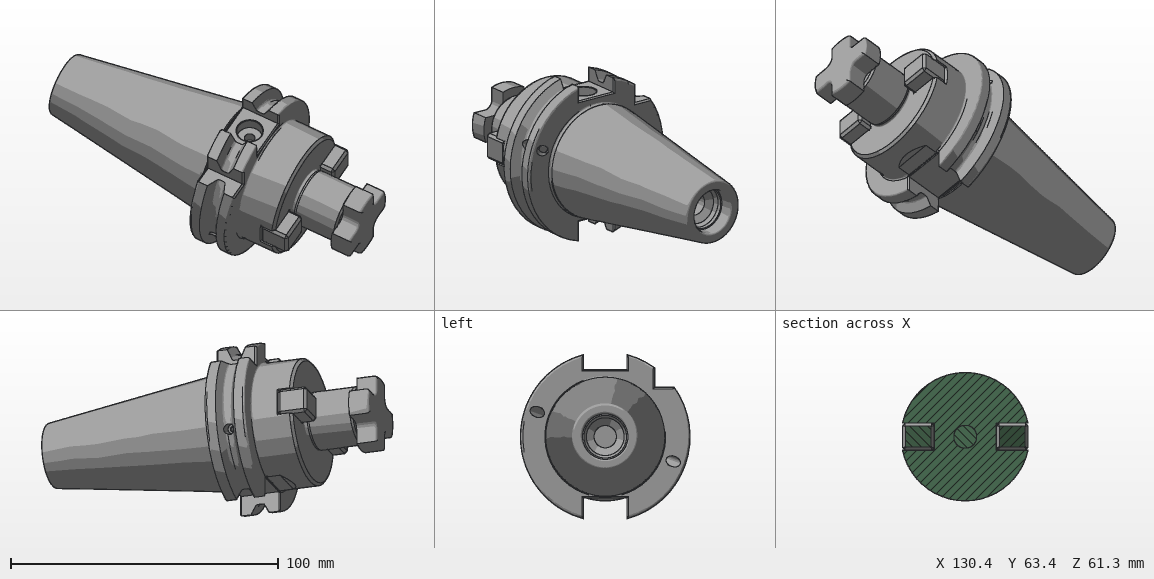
import cadquery as cq
import math

total_length = 130.4
taper_length = 68.9
flange_start = 71.6
flange_width = 15.9
flange_end = flange_start + flange_width
groove_x = flange_start + flange_width / 2
collar_length = 15.9
collar_end = flange_end + collar_length
spigot_length = 19.0
spigot_end = collar_end + spigot_length

small_radius = 12.3
gauge_radius = 22.23
tip_fillet = 1.0
neck_radius = 21.9
neck_start = 69.9
neck_chamfer = 0.4
neck_fillet = 0.7
flange_radius = 31.7
flange_fillet = 0.9
groove_radius = 28.0
groove_half_flat = 0.8
groove_fillet = 1.2
flank_angle = math.radians(60)
collar_radius = 24.0
collar_root_fillet = 0.7
collar_chamfer = 1.0
spigot_radius = 11.0
spigot_chamfer = 0.8
relief_radius = 10.7
relief_fillet = 0.4
relief_width = 1.2
relief_run_out = 0.8

pilot_radius = 8.5
pilot_depth = 5.6
pilot_fillet = 0.9
recess_radius = 8.0
recess_end = 7.3
cone_radius = 7.0
cone_start = 8.9
bore_radius = 4.2
drill_half_angle = math.radians(59)

slot_width = 16.2
slot_floors = {1: 25.0, -1: 22.8}
slot_chamfer = 0.5
run_out_start = 93.0
run_out_end = 96.0
notch_wall = 18.5
notch_chamfer = 0.7
pocket_radius = 4.8
pocket_chamfer = 0.3
pocket_depth = 4.7
pilot_hole_radius = 2.0
pilot_hole_depth = 3.9
coolant_radius = 2.0
coolant_circle = 27.0
coolant_tilt = 45
coolant_angles = (20, 200)

key_start = 97.5
key_length = 11.5
key_width = 10.0
key_inner = 11.6
key_outer = 23.5
key_chamfer = 1.0

head_radius = 14.02
head_fillet = 1.3
lobe_width = 9.8
lobe_root_radius = 3.0
shank_start = 86.0

set_screw_outer = 23.5
set_screw_length = 3.9
socket_width = 2.0
socket_depth = 1.5


def revolve_about_x(profile):
    return profile.close().revolve(360, (0, 0, 0), (1, 0, 0))


def turned_body():
    """Taper, flange blank, collar and spigot, without the ring groove."""
    taper = revolve_about_x(
        cq.Workplane("XZ")
        .lineTo(0, small_radius)
        .lineTo(taper_length, gauge_radius)
        .lineTo(neck_start, gauge_radius)
        .lineTo(neck_start + neck_chamfer, neck_radius)
        .lineTo(flange_start - neck_fillet, neck_radius)
        .radiusArc((flange_start, neck_radius + neck_fillet), -neck_fillet)
        .lineTo(flange_start, 0)
    )
    taper = taper.faces("<X").edges().fillet(tip_fillet)

    flange = revolve_about_x(
        cq.Workplane("XZ")
        .moveTo(flange_start, 0)
        .lineTo(flange_start, flange_radius)
        .lineTo(flange_end, flange_radius)
        .lineTo(flange_end, 0)
    )
    flange = flange.edges().fillet(flange_fillet)

    relief_end = collar_end + relief_width
    front = revolve_about_x(
        cq.Workplane("XZ")
        .moveTo(flange_end, 0)
        .lineTo(flange_end, collar_radius + collar_root_fillet)
        .radiusArc((flange_end + collar_root_fillet, collar_radius), -collar_root_fillet)
        .lineTo(collar_end - collar_chamfer, collar_radius)
        .lineTo(collar_end, collar_radius - collar_chamfer)
        .lineTo(collar_end, relief_radius + relief_fillet)
        .radiusArc((collar_end + relief_fillet, relief_radius), -relief_fillet)
        .lineTo(relief_end, relief_radius)
        .lineTo(relief_end + relief_run_out, spigot_radius)
        .lineTo(spigot_end - spigot_chamfer, spigot_radius)
        .lineTo(spigot_end, spigot_radius - spigot_chamfer)
        .lineTo(spigot_end, 0)
    )
    return taper.union(flange).union(front)


def ring_groove():
    """V groove around the flange, with rounded corners at its flat bottom."""
    arc_run = groove_fillet * math.sin(flank_angle)
    arc_rise = groove_fillet * (1 - math.cos(flank_angle))
    flank_foot = groove_half_flat + arc_run
    foot_radius = groove_radius + arc_rise
    rim_radius = flange_radius + 1.3
    flank_top = flank_foot + (rim_radius - foot_radius) / math.tan(flank_angle)
    return revolve_about_x(
        cq.Workplane("XZ")
        .moveTo(groove_x - flank_top, rim_radius)
        .lineTo(groove_x - flank_foot, foot_radius)
        .radiusArc((groove_x - groove_half_flat, groove_radius), -groove_fillet)
        .lineTo(groove_x + groove_half_flat, groove_radius)
        .radiusArc((groove_x + flank_foot, foot_radius), -groove_fillet)
        .lineTo(groove_x + flank_top, rim_radius)
    )


def axial_bore():
    """Stepped pilot bore with a conical end, and the through bore for the screw."""
    cone_length = (cone_radius - bore_radius) / math.tan(drill_half_angle)
    return revolve_about_x(
        cq.Workplane("XZ")
        .lineTo(0, pilot_radius + pilot_fillet)
        .radiusArc((pilot_fillet, pilot_radius), -pilot_fillet)
        .lineTo(pilot_depth, pilot_radius)
        .lineTo(pilot_depth, recess_radius)
        .lineTo(recess_end, recess_radius)
        .lineTo(cone_start, cone_radius)
        .lineTo(cone_start + cone_length, bore_radius)
        .lineTo(spigot_end, bore_radius)
        .lineTo(spigot_end, 0)
    )


def flange_cut(y_min, y_max, z_min, z_max, chamfer):
    """Box through the flange width, widened by a chamfer at both flange faces."""
    width = y_max - y_min
    height = z_max - z_min
    centre = ((y_min + y_max) / 2, (z_min + z_max) / 2)
    cut = cq.Workplane("YZ", origin=(flange_start, 0, 0)).center(*centre).rect(width, height)
    cut = cut.extrude(flange_width)
    for face_x, inward in ((flange_start, 1), (flange_end, -1)):
        flare = cq.Workplane("YZ", origin=(face_x, 0, 0)).center(*centre)
        flare = flare.rect(width + 2 * chamfer, height + 2 * chamfer)
        cut = cut.union(flare.extrude(inward * chamfer, taper=45))
    return cut


def drive_slot(side):
    floor = slot_floors[side]
    z_low, z_high = sorted((side * floor, side * (flange_radius + 1.3)))
    return flange_cut(-slot_width / 2, slot_width / 2, z_low, z_high, slot_chamfer)


def lower_slot_run_out():
    """The deeper drive slot runs on into the collar and ramps out to its surface."""
    floor = slot_floors[-1]
    return (
        cq.Workplane("XZ")
        .moveTo(flange_start, -floor)
        .lineTo(run_out_start, -floor)
        .lineTo(run_out_end, -collar_radius)
        .lineTo(run_out_end, -flange_radius)
        .lineTo(flange_start, -flange_radius)
        .close()
        .extrude(slot_width / 2, both=True)
    )


def orientation_notch():
    far = flange_radius + 1.3
    return flange_cut(-far, -notch_wall, notch_wall, far, notch_chamfer)


def slot_pocket():
    """Chamfered pocket in the upper slot floor, with a smaller drilled hole in its bottom."""
    rim = slot_floors[1]
    pocket_floor = rim - pocket_depth
    drill_shoulder = pocket_floor - pilot_hole_depth
    drill_tip = drill_shoulder - pilot_hole_radius / math.tan(drill_half_angle)
    half_profile = (
        cq.Workplane("XZ", origin=(groove_x, 0, 0))
        .moveTo(0, rim)
        .lineTo(pocket_radius + pocket_chamfer, rim)
        .lineTo(pocket_radius, rim - pocket_chamfer)
        .lineTo(pocket_radius, pocket_floor)
        .lineTo(pilot_hole_radius, pocket_floor)
        .lineTo(pilot_hole_radius, drill_shoulder)
        .lineTo(0, drill_tip)
        .close()
    )
    return half_profile.revolve(360, (0, 0, 0), (0, 1, 0))


def coolant_passage(angle):
    """Radial hole from the groove to the bore, and a tilted hole from the rear flange face into it."""
    radial = cq.Workplane("XY", origin=(groove_x, 0, 0)).circle(coolant_radius).extrude(groove_radius + 1.3)
    tilt = math.radians(coolant_tilt)
    run = (groove_x - flange_start) / math.sin(tilt)
    lead_in = 2 * coolant_radius
    direction = cq.Vector(math.sin(tilt), 0, -math.cos(tilt))
    entry = cq.Vector(flange_start, 0, coolant_circle)
    tilted = cq.Workplane(
        cq.Solid.makeCylinder(coolant_radius, run + lead_in, entry - direction * lead_in, direction)
    )
    return radial.union(tilted).rotate((0, 0, 0), (1, 0, 0), angle - 90)


def key_block(side, outer):
    low, high = sorted((side * key_inner, side * outer))
    return (
        cq.Workplane("XY")
        .box(key_length, high - low, key_width)
        .translate((key_start + key_length / 2, (low + high) / 2, 0))
    )


def make_holder():
    holder = turned_body().cut(ring_groove()).cut(axial_bore())
    for side in (1, -1):
        holder = holder.cut(drive_slot(side))
        holder = holder.cut(key_block(side, collar_radius + 1.3))
    holder = holder.cut(lower_slot_run_out()).cut(orientation_notch()).cut(slot_pocket())
    for angle in coolant_angles:
        holder = holder.cut(coolant_passage(angle))
    return holder


def make_driving_key(side):
    return key_block(side, key_outer).edges().chamfer(key_chamfer)


def make_clamping_screw():
    """Screw with a four-lobed head in front of the spigot."""
    head_length = total_length - spigot_end
    head = cq.Workplane("YZ", origin=(spigot_end, 0, 0)).circle(head_radius).extrude(head_length)
    corner = cq.Workplane("XY").box(total_length, head_radius, head_radius, centered=(True, False, False))
    corner = corner.edges("|X and <Y and <Z").fillet(lobe_root_radius)
    corner = corner.translate((total_length, lobe_width / 2, lobe_width / 2))
    for quarter in range(4):
        head = head.cut(corner.rotate((0, 0, 0), (1, 0, 0), 90 * quarter))
    head = head.faces(">X").edges().fillet(head_fillet)
    shank_length = spigot_end - shank_start
    shank = cq.Workplane("YZ", origin=(shank_start, 0, 0)).circle(bore_radius).extrude(shank_length)
    return head.union(shank)


def make_set_screw(angle):
    """Headless plug with a hexagon socket, closing the outer end of a coolant passage."""
    screw = cq.Workplane("XY", origin=(groove_x, 0, set_screw_outer)).circle(coolant_radius)
    screw = screw.extrude(-set_screw_length)
    screw = screw.faces(">Z").workplane().polygon(6, socket_width, circumscribed=True).cutBlind(-socket_depth)
    return screw.rotate((0, 0, 0), (1, 0, 0), angle - 90)


holder = make_holder()
keys = [make_driving_key(side) for side in (1, -1)]
clamping_screw = make_clamping_screw()
set_screws = [make_set_screw(angle) for angle in coolant_angles]

result = cq.Compound.makeCompound(
    [
        holder.val(),
        *[key.val() for key in keys],
        clamping_screw.val(),
        *[screw.val() for screw in set_screws],
    ]
)